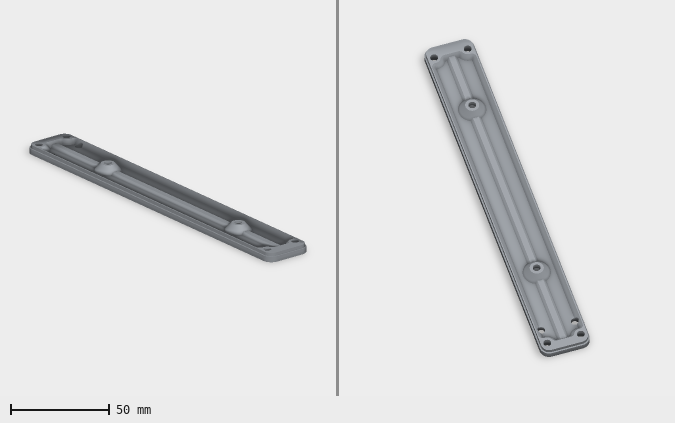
import cadquery as cq
import math

length = 200.0
width = 26.5
corner_radius = 5.0
base_height = 3.0
plate_height = 4.8
step_inset = 0.8

hole_diameter = 4.0
hole_y = 9.0
hole_left_x = -94.5
hole_right_x = 92.8
extra_hole_x = hole_left_x + 10.0

floor_z = 2.5
wall_run = 2.5
pocket_depth = plate_height - floor_z
wall_taper = math.degrees(math.atan(wall_run / pocket_depth))
floor_half_width = 9.5
pad_radius = 5.8

rib_top_width = 3.0
rib_foot_width = 6.0
rib_top_z = 3.5

boss_xs = (-49.2, 57.5)
boss_top_z = 6.5
boss_base_radius = 7.2
boss_top_radius = 3.5
boss_hole_bottom_z = rib_top_z


def make_plate():
    base = cq.Workplane("XY").box(length, width, base_height, centered=(True, True, False))
    base = base.edges("|Z").fillet(corner_radius)
    step_length = length - 2 * step_inset
    step_width = width - 2 * step_inset
    step = (
        cq.Workplane("XY")
        .box(step_length, step_width, plate_height, centered=(True, True, False))
        .edges("|Z")
        .fillet(corner_radius - step_inset)
    )
    return base.union(step)


def make_pocket():
    left = hole_left_x + wall_run
    right = hole_right_x - wall_run
    pad_end_y = hole_y - math.sqrt(pad_radius**2 - wall_run**2)
    pad_side_run = math.sqrt(pad_radius**2 - (floor_half_width - hole_y) ** 2)
    left_side_x = hole_left_x + pad_side_run
    right_side_x = hole_right_x - pad_side_run
    mid_run = pad_radius * math.sqrt(0.5)
    mid_y = hole_y - mid_run
    left_mid_x = hole_left_x + mid_run
    right_mid_x = hole_right_x - mid_run
    return (
        cq.Workplane("XY", origin=(0, 0, floor_z))
        .moveTo(left_side_x, -floor_half_width)
        .lineTo(right_side_x, -floor_half_width)
        .threePointArc((right_mid_x, -mid_y), (right, -pad_end_y))
        .lineTo(right, pad_end_y)
        .threePointArc((right_mid_x, mid_y), (right_side_x, floor_half_width))
        .lineTo(left_side_x, floor_half_width)
        .threePointArc((left_mid_x, mid_y), (left, pad_end_y))
        .lineTo(left, -pad_end_y)
        .threePointArc((left_mid_x, -mid_y), (left_side_x, -floor_half_width))
        .close()
        .extrude(pocket_depth, taper=-wall_taper)
    )


def make_rib():
    top_half = rib_top_width / 2
    bottom_half = rib_foot_width / 2
    return (
        cq.Workplane("YZ", origin=(hole_left_x, 0, 0))
        .polyline([
            (-bottom_half, floor_z),
            (bottom_half, floor_z),
            (top_half, rib_top_z),
            (-top_half, rib_top_z),
        ])
        .close()
        .extrude(hole_right_x - hole_left_x)
    )


def make_boss(x):
    boss_height = boss_top_z - floor_z
    cone = cq.Solid.makeCone(boss_base_radius, boss_top_radius, boss_height, cq.Vector(x, 0, floor_z))
    return cq.Workplane(cone)


def make_hole(x, y, bottom_z):
    hole_height = boss_top_z - bottom_z
    return (
        cq.Workplane("XY", origin=(x, y, bottom_z))
        .circle(hole_diameter / 2)
        .extrude(hole_height)
    )


result = make_plate().cut(make_pocket()).union(make_rib())

for boss_x in boss_xs:
    result = result.union(make_boss(boss_x))
    result = result.cut(make_hole(boss_x, 0, boss_hole_bottom_z))

for hole_x in (hole_left_x, extra_hole_x, hole_right_x):
    for side in (-1, 1):
        result = result.cut(make_hole(hole_x, side * hole_y, 0))